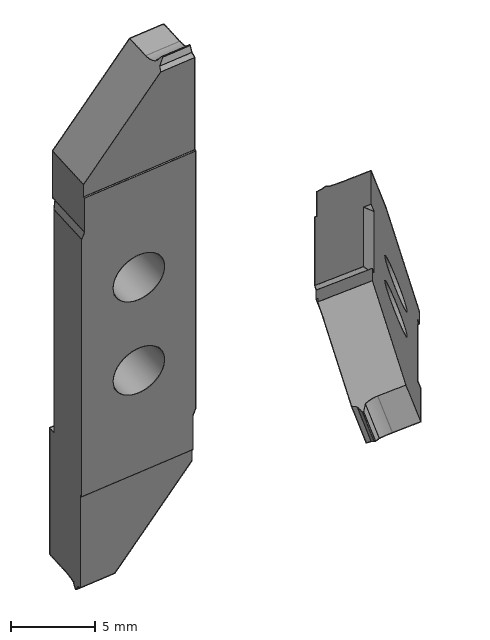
import cadquery as cq
import math

thickness = 3.6
width = 8.0
length = 40.0
half_width = width / 2
half_length = length / 2

side_relief = 0.2
land_half_length = 9.25
land_ramp = 0.5
shoulder_height = 13.0
end_angle = 40.0

seat_chamfer = 0.5
hole_diameter = 3.6
hole_spacing = 7.5

end_thickness = 3.5
face_step_height = 12.0
end_height = 19.45
root_start = 1.8
root_end = 2.65
root_rise = 0.15
tooth_center = 2.9
tooth_tip_half_width = 0.05
tooth_base_end = 3.15


def turned(points):
    """Rotate two-dimensional points half a turn about the origin."""
    return [(-a, -b) for a, b in points]


def plate():
    """Side outline in Y-Z, identical after half a turn about X."""
    slope_run = (half_length - shoulder_height) * math.tan(math.radians(end_angle))
    relieved_side = half_width - side_relief
    half_outline = [
        (half_width, half_length),
        (slope_run - relieved_side, half_length),
        (-relieved_side, shoulder_height),
        (-relieved_side, land_half_length),
        (-half_width, land_half_length - land_ramp),
    ]
    outline = half_outline + turned(half_outline)
    return cq.Workplane("YZ").polyline(outline).close().extrude(thickness)


def end_profile():
    """Upper half of the X-Z profile: stepped back face and pointed cutting tooth."""
    root_height = end_height + root_rise
    return (
        cq.Workplane("XZ", origin=(0, half_width, 0))
        .moveTo(0, 0)
        .lineTo(0, end_height)
        .lineTo(root_start, end_height)
        .tangentArcPoint((root_end, root_height), relative=False)
        .lineTo(tooth_center - tooth_tip_half_width, half_length)
        .lineTo(tooth_center + tooth_tip_half_width, half_length)
        .lineTo(tooth_base_end, root_height)
        .lineTo(end_thickness, end_height)
        .lineTo(end_thickness, face_step_height)
        .lineTo(thickness, face_step_height)
        .lineTo(thickness, 0)
        .close()
        .extrude(width)
    )


def seat_chamfers():
    """Triangular cutters along both edges of the X = 0 face."""
    cutters = cq.Workplane("XY")
    for side in (-1, 1):
        edge = side * half_width
        corner = [(0, edge), (seat_chamfer, edge), (0, edge - side * seat_chamfer)]
        cutter = (
            cq.Workplane("XY", origin=(0, 0, -land_half_length))
            .polyline(corner)
            .close()
            .extrude(2 * land_half_length)
        )
        cutters = cutters.add(cutter)
    return cutters.combine()


def screw_holes():
    """Two through holes along X, stacked in Z."""
    return (
        cq.Workplane("YZ")
        .pushPoints([(0, -hole_spacing / 2), (0, hole_spacing / 2)])
        .circle(hole_diameter / 2)
        .extrude(thickness)
    )


upper_profile = end_profile()
lower_profile = upper_profile.mirror("XY")
result = plate().intersect(upper_profile.union(lower_profile))
result = result.cut(seat_chamfers()).cut(screw_holes())